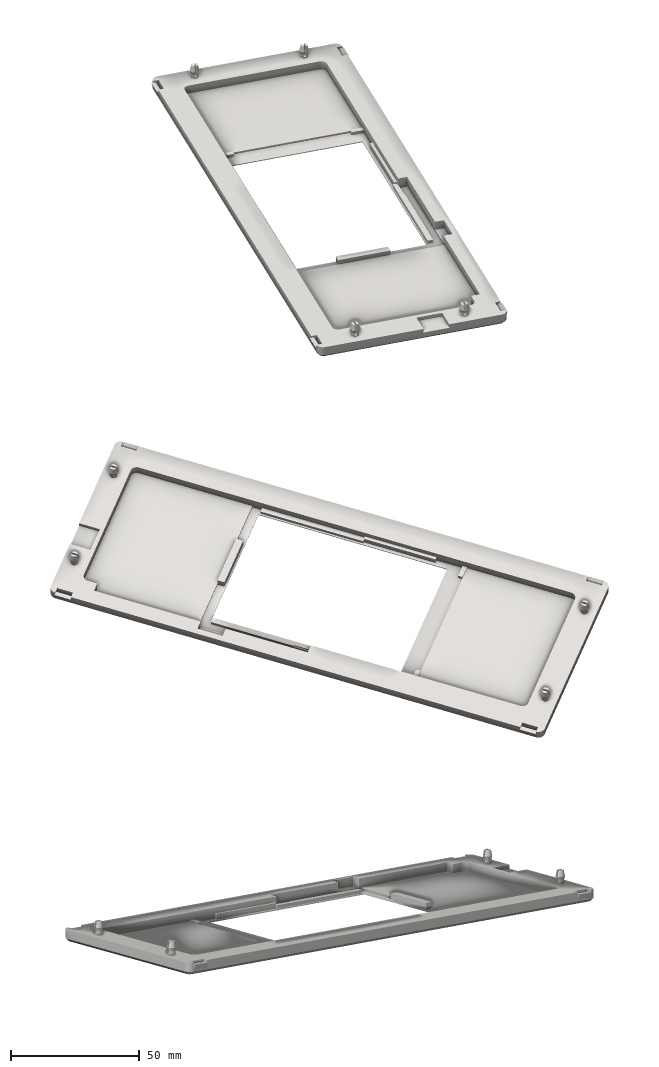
import cadquery as cq

length = 204.0
width = 77.7
thickness = 4.9
corner_radius = 2.7
bottom_chamfer = 1.2

floor_top = 1.2
pocket_length = 183.5
pocket_width = 58.3
pocket_radius = 2.5

side_bay_start = -2.9
side_bay_end = 85.5
side_bay_y = 32.8
cable_notch_start = 31.0
cable_notch_end = 41.5
cable_notch_y = 36.5

seat_top = 0.5
seat_start = -46.3
seat_end = 42.5
window_length = 78.0
window_width = 53.5

tab_length = 1.8
tab_width = 5.0
tab_top = 1.8
latch_start = 39.5
latch_width = 21.5
latch_top = 3.3

rim_recess_start = 93.5
rim_recess_y = 9.4
rim_recess_width = 10.6
rim_recess_depth = 1.6

bump_x = 96.0
bump_length = 6.5
bump_reach = 0.6
bump_top = 4.0
bump_bottom = 1.8
bump_groove_start = 36.5
bump_groove_end = 37.7

pin_x = 97.3
pin_y = 22.5
pin_diameter = 3.0
pin_height = 5.3
barb_diameter = 3.7
barb_bottom = 1.6
barb_widest = 2.9
tip_diameter = 2.7
pin_slot_width = 0.8
pin_slot_bottom = 0.6

rail_start = -33.7
rail_step = -4.0
rail_end = 38.4
narrow_rail_width = 1.2
narrow_rail_height = 2.2
wide_rail_width = 1.8
wide_rail_height = 1.5
lip_width = 0.5
lip_step = 4.0
low_lip_height = 0.8


def block(x_start, x_end, y_start, y_end, z_start, z_end):
    """Box given by its limits along each axis."""
    size = (x_end - x_start, y_end - y_start, z_end - z_start)
    return cq.Workplane("XY").box(*size, centered=False).translate((x_start, y_start, z_start))


def plate_blank():
    blank = cq.Workplane("XY").box(length, width, thickness, centered=(True, True, False))
    return blank.edges("|Z").fillet(corner_radius).faces("<Z").chamfer(bottom_chamfer)


def pocket():
    half_length = pocket_length / 2
    half_width = pocket_width / 2
    main = block(-half_length, half_length, -half_width, half_width, floor_top, thickness)
    main = main.edges("|Z").fillet(pocket_radius)
    side_bay = block(side_bay_start, side_bay_end, 0, side_bay_y, floor_top, thickness)
    cable_notch = block(cable_notch_start, cable_notch_end, 0, cable_notch_y, floor_top, thickness)
    return main.union(side_bay).union(cable_notch)


def seat():
    main = block(seat_start, seat_end, -pocket_width / 2, pocket_width / 2, seat_top, thickness)
    side_bay = block(side_bay_start, seat_end, 0, side_bay_y, seat_top, thickness)
    return main.union(side_bay)


def window():
    return block(-window_length / 2, window_length / 2, -window_width / 2, window_width / 2, 0, thickness)


def stops():
    latch = block(latch_start, seat_end, -latch_width / 2, latch_width / 2, seat_top, latch_top)
    tab_end = seat_start + tab_length
    tab_y = pocket_width / 2 - tab_width
    tab = block(seat_start, tab_end, tab_y, pocket_width / 2, seat_top, tab_top)
    return latch.union(tab).union(tab.mirror("XZ"))


def rim_recess():
    y_start = rim_recess_y - rim_recess_width / 2
    y_end = rim_recess_y + rim_recess_width / 2
    return block(rim_recess_start, length / 2, y_start, y_end, thickness - rim_recess_depth, thickness)


def bump_recess():
    """Step in the +Y edge of the plate with a V-groove at its back, centred on X = 0."""
    profile = [
        (bump_groove_start, thickness),
        (bump_groove_start, bump_bottom),
        (bump_groove_end, bump_top),
        (width / 2, bump_top),
        (width / 2, thickness),
    ]
    return cq.Workplane("YZ").polyline(profile).close().extrude(bump_length / 2, both=True)


def bump():
    """Wedge on the +Y edge of the plate, centred on X = 0 and widest at its top."""
    profile = [
        (bump_groove_end, bump_bottom),
        (width / 2, bump_bottom),
        (width / 2 + bump_reach, bump_top),
        (bump_groove_end, bump_top),
    ]
    return cq.Workplane("YZ").polyline(profile).close().extrude(bump_length / 2, both=True)


def make_plate():
    plate = plate_blank().cut(pocket()).cut(seat()).cut(window()).union(stops()).cut(rim_recess())
    for x in (-bump_x, bump_x):
        recess = bump_recess().translate((x, 0, 0))
        wedge = bump().translate((x, 0, 0))
        plate = plate.cut(recess).cut(recess.mirror("XZ"))
        plate = plate.union(wedge).union(wedge.mirror("XZ"))
    return plate


def make_pin(x, y):
    """Pin with a barbed head, split by a slot along X."""
    stem_radius = pin_diameter / 2
    barb_radius = barb_diameter / 2
    profile = [
        (0, 0),
        (stem_radius, 0),
        (stem_radius, barb_bottom),
        (barb_radius, barb_widest),
        (tip_diameter / 2, pin_height),
        (0, pin_height),
    ]
    pin = cq.Workplane("XZ").polyline(profile).close().revolve(360, (0, 0, 0), (0, 1, 0))
    half_slot = pin_slot_width / 2
    slot = block(-barb_radius, barb_radius, -half_slot, half_slot, pin_slot_bottom, pin_height)
    return pin.cut(slot).translate((x, y, thickness))


def make_rail(has_lip):
    """Rail on the seat against the +Y pocket wall: a tall narrow part, then a low wide one.

    The lip fills the start of the side bay behind the wide part, and is lower at its start.
    """
    wall_y = pocket_width / 2
    lip_y = wall_y + lip_width
    narrow_top = seat_top + narrow_rail_height
    wide_top = seat_top + wide_rail_height
    low_lip_top = seat_top + low_lip_height
    narrow = block(rail_start, rail_step, wall_y - narrow_rail_width, wall_y, seat_top, narrow_top)
    wide = block(rail_step, rail_end, wall_y - wide_rail_width, wall_y, seat_top, wide_top)
    rail = narrow.union(wide)
    if has_lip:
        low_lip = block(side_bay_start, lip_step, wall_y, lip_y, seat_top, low_lip_top)
        full_lip = block(lip_step, rail_end, wall_y, lip_y, seat_top, wide_top)
        rail = rail.union(low_lip).union(full_lip)
    return rail


plate = make_plate()
pins = [make_pin(x, y) for x in (-pin_x, pin_x) for y in (-pin_y, pin_y)]
rails = [make_rail(has_lip=True), make_rail(has_lip=False).mirror("XZ")]

result = cq.Compound.makeCompound([body.val() for body in [plate, *pins, *rails]])